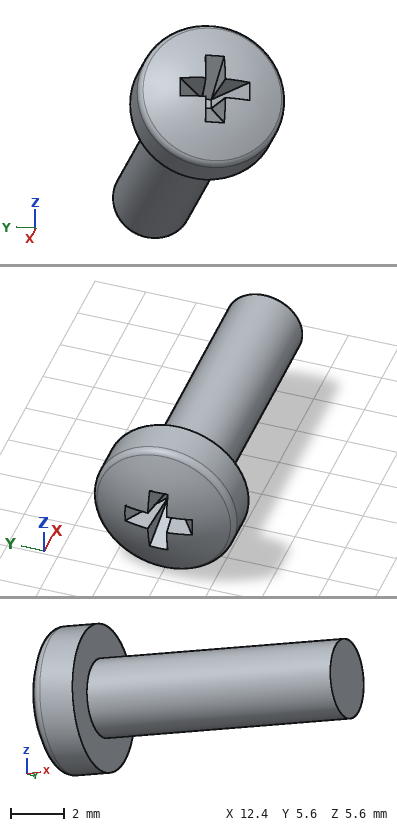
import cadquery as cq
import math

shank_diameter = 3.0
shank_length = 10.0
head_diameter = 5.6
head_height = 2.4
dome_radius = 5.0
rim_fillet = 0.35

recess_depth = 1.8
recess_floor_side = 0.35
slot_mouth_width = 0.75
slot_tip_radius = 1.325


def make_head():
    """Revolve the domed head, with its rim rounded tangent to the dome and the side."""
    head_radius = head_diameter / 2
    dome_center_x = dome_radius - head_height
    fillet_center_r = head_radius - rim_fillet
    center_distance = dome_radius - rim_fillet
    fillet_angle = math.asin(fillet_center_r / center_distance)
    fillet_center_x = dome_center_x - center_distance * math.cos(fillet_angle)

    def on_dome(angle):
        return (dome_center_x - dome_radius * math.cos(angle), dome_radius * math.sin(angle))

    fillet_mid_angle = (fillet_angle + math.pi / 2) / 2
    fillet_mid = (
        fillet_center_x - rim_fillet * math.cos(fillet_mid_angle),
        fillet_center_r + rim_fillet * math.sin(fillet_mid_angle),
    )
    return (
        cq.Workplane("XY")
        .moveTo(-head_height, 0)
        .threePointArc(on_dome(fillet_angle / 2), on_dome(fillet_angle))
        .threePointArc(fillet_mid, (fillet_center_x, head_radius))
        .lineTo(0, head_radius)
        .lineTo(0, 0)
        .close()
        .revolve(360, (0, 0, 0), (1, 0, 0))
    )


def make_shank():
    """Plain cylinder running from the underside of the head."""
    return cq.Workplane("YZ").circle(shank_diameter / 2).extrude(shank_length)


def make_slot(turn):
    """Tapered slot from the apex plane of the dome to the square floor, turned about X."""
    tip_drop = dome_radius - math.sqrt(dome_radius**2 - slot_tip_radius**2)
    floor_half = recess_floor_side / 2
    end_wall_slope = (slot_tip_radius - floor_half) / (recess_depth - tip_drop)
    mouth_length = 2 * (floor_half + end_wall_slope * recess_depth)
    return (
        cq.Workplane("YZ", origin=(-head_height, 0, 0))
        .rect(mouth_length, slot_mouth_width)
        .workplane(offset=recess_depth)
        .rect(recess_floor_side, recess_floor_side)
        .loft(ruled=True)
        .rotate((0, 0, 0), (1, 0, 0), turn)
    )


result = make_head().union(make_shank())
for slot_turn in (0, 90):
    result = result.cut(make_slot(slot_turn))